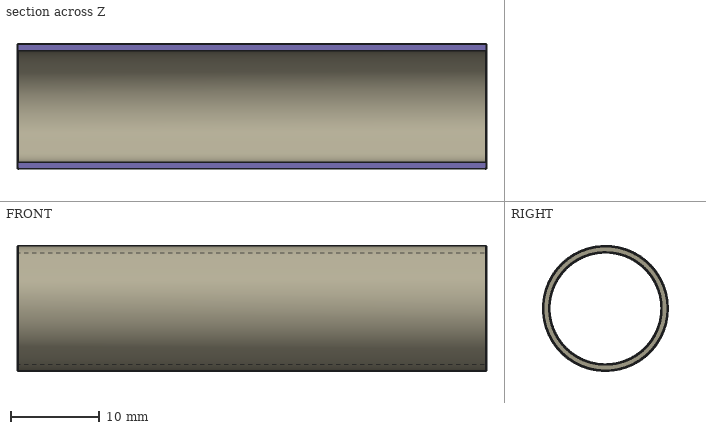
import cadquery as cq

tube_length = 53.12
outer_diameter = 14.2
bore_diameter = 12.6
edge_chamfer = 0.1


def make_tube():
    """Straight round tube along X, starting at X = 0."""
    return (
        cq.Workplane("YZ")
        .circle(outer_diameter / 2)
        .circle(bore_diameter / 2)
        .extrude(tube_length)
    )


def chamfer_ends(tube):
    """Break the outer and bore edges at both ends of the tube."""
    return tube.faces("<X or >X").edges().chamfer(edge_chamfer)


result = chamfer_ends(make_tube())